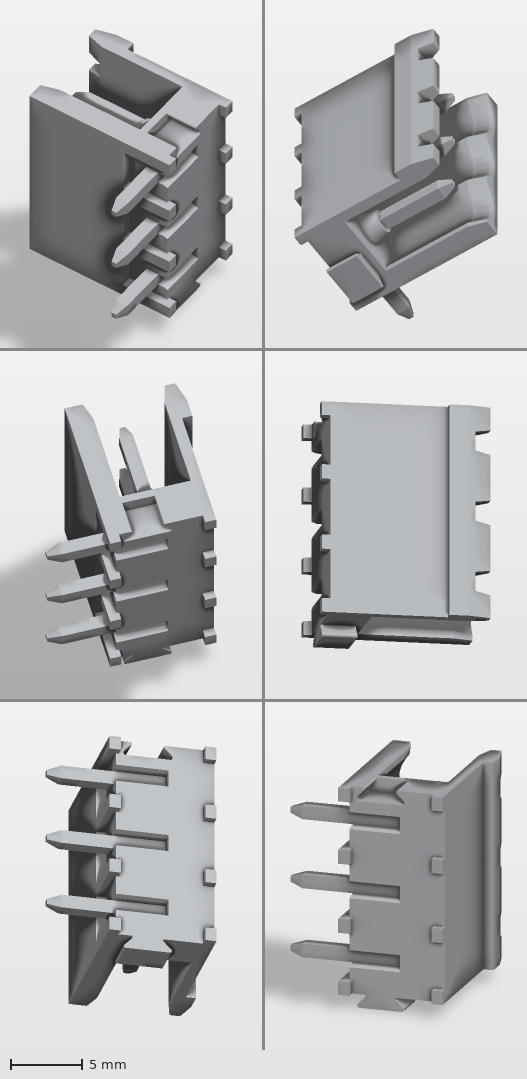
import cadquery as cq

pitch = 5.08
pin_count = 3
body_height = pitch * pin_count
body_length = 12.0
back_x = 11.4
cavity_depth = 8.3

wall_outer_y = 7.74
bump_outer_y = 8.48
bump_length = 3.0
bump_taper_length = 1.6
bump_tip_y = 8.07
cavity_low_y = 1.72
cavity_high_y = 6.9
mouth_chamfer_length = 1.4
mouth_chamfer_depth = 0.4

pin_y = 3.9
pin_width = 1.0
pin_tip_width = 0.4
pin_taper_length = 1.0
pin_tip_x = 1.1
leg_x = 10.1
leg_tip_y = -4.12
collar_length = 1.25
collar_base_radius = 1.25
collar_tip_radius = 0.9

scallop_radius = cavity_high_y - pin_y

notch_depth = 1.15
notch_mouth_width = 1.78
notch_floor_width = 1.36

rib_thickness = 0.81
end_rib_width = 1.0
middle_rib_width = 1.04
window_start_x = 8.0
window_step_x = 8.6
window_depth = 0.62

slot_flare_width = 1.26
slot_flare_length = 0.37

dovetail_y = 2.93
dovetail_length = 2.53
dovetail_height = 1.0
root_width = 2.38
waist_width = 2.2
waist_depth = 0.1
neck_end_width = 2.24
neck_end_depth = 0.17
flank_end_width = 3.4
flank_end_depth = 0.74
foot_width = 3.46
foot_depth = 0.86
base_width = 3.26
groove_clearance = 0.05

pin_levels = [(index + 0.5) * pitch for index in range(pin_count)]
high_foot_inner_y = wall_outer_y - rib_thickness


def box(x_range, y_range, z_range):
    """Axis-aligned block given by its limits."""
    size = [limits[1] - limits[0] for limits in (x_range, y_range, z_range)]
    corner = (x_range[0], y_range[0], z_range[0])
    return cq.Workplane("XY").box(*size, centered=False).translate(corner)


def make_shell():
    """U-shaped body profile extruded along the row."""
    outline = [
        (0, 0),
        (back_x, 0),
        (back_x, wall_outer_y),
        (bump_length, wall_outer_y),
        (bump_length, bump_outer_y),
        (bump_taper_length, bump_outer_y),
        (0, bump_tip_y),
        (0, cavity_high_y + mouth_chamfer_depth),
        (mouth_chamfer_length, cavity_high_y),
        (cavity_depth, cavity_high_y),
        (cavity_depth, cavity_low_y),
        (mouth_chamfer_length, cavity_low_y),
        (0, cavity_low_y - mouth_chamfer_depth),
    ]
    return cq.Workplane("XY").polyline(outline).close().extrude(body_height)


def make_scallop(level):
    """Round recess in the -Y wall, coned outward at the mouth."""
    mouth_radius = scallop_radius + mouth_chamfer_depth
    profile = [
        (0, 0),
        (0, mouth_radius),
        (mouth_chamfer_length, scallop_radius),
        (cavity_depth, scallop_radius),
        (cavity_depth, 0),
    ]
    turned = cq.Workplane("XY").polyline(profile).close().revolve(360, (0, 0, 0), (1, 0, 0))
    lower_half = box((0, cavity_depth), (-mouth_radius, 0), (-pitch / 2, pitch / 2))
    return turned.intersect(lower_half).translate((0, pin_y, level))


def make_notch(level):
    """Flared notch across the lip of the +Y wall."""
    outline = [
        (0, level - notch_mouth_width / 2),
        (notch_depth, level - notch_floor_width / 2),
        (notch_depth, level + notch_floor_width / 2),
        (0, level + notch_mouth_width / 2),
    ]
    sketch = cq.Workplane("XZ", origin=(0, bump_outer_y, 0)).polyline(outline).close()
    return sketch.extrude(bump_outer_y - cavity_high_y)


def rib_spans():
    """Z limits of the stand-off ribs: one at each end and one between neighbouring pins."""
    spans = [(0, end_rib_width)]
    for index in range(1, pin_count):
        middle = index * pitch
        spans.append((middle - middle_rib_width / 2, middle + middle_rib_width / 2))
    spans.append((body_height - end_rib_width, body_height))
    return spans


def make_rib_feet(span):
    """Rear ends of one rib, on both long walls."""
    x_range = (back_x, body_length)
    low_foot = box(x_range, (0, rib_thickness), span)
    high_foot = box(x_range, (high_foot_inner_y, wall_outer_y), span)
    return low_foot.union(high_foot)


def make_window(span):
    """Stepped recess around one solder leg, open to the rear."""
    floor = box((window_start_x, back_x), (0, window_depth), span)
    deep_step = box((window_start_x, window_step_x), (0, rib_thickness), span)
    return floor.union(deep_step)


def make_slot(level):
    """Insertion slot behind one pin, flared at the rear face."""
    flare_start_x = back_x - slot_flare_length
    outline = [
        (leg_x, -pin_width / 2),
        (flare_start_x, -pin_width / 2),
        (back_x, -slot_flare_width / 2),
        (back_x, slot_flare_width / 2),
        (flare_start_x, pin_width / 2),
        (leg_x, pin_width / 2),
    ]
    top_y = pin_y + pin_width / 2
    sketch = cq.Workplane("XZ", origin=(0, top_y, level)).polyline(outline).close()
    return sketch.extrude(top_y)


def make_bar(length):
    """Square bar along +Z from the origin, tapered at its far end."""
    straight_length = length - pin_taper_length
    straight = cq.Workplane("XY").rect(pin_width, pin_width).extrude(straight_length)
    tip = (
        cq.Workplane("XY", origin=(0, 0, straight_length))
        .rect(pin_width, pin_width)
        .workplane(offset=pin_taper_length)
        .rect(pin_tip_width, pin_tip_width)
        .loft(ruled=True)
    )
    return straight.union(tip)


def make_pin(level):
    """Right-angle pin: a contact arm along -X and a solder leg along -Y."""
    half = pin_width / 2
    arm = make_bar(leg_x + half - pin_tip_x).rotate((0, 0, 0), (0, 1, 0), -90)
    arm = arm.translate((leg_x + half, pin_y, level))
    leg = make_bar(pin_y + half - leg_tip_y).rotate((0, 0, 0), (1, 0, 0), 90)
    leg = leg.translate((leg_x, pin_y + half, level))
    return arm.union(leg)


def make_collar(level):
    """Conical collar around the pin on the cavity floor."""
    base = cq.Workplane("YZ", origin=(cavity_depth, pin_y, level))
    return base.circle(collar_base_radius).workplane(offset=-collar_length).circle(collar_tip_radius).loft()


def make_dovetail(clearance):
    """Dovetail with rounded neck and foot, hanging below Z = 0, flush with the rear face."""
    root = root_width / 2 + clearance
    waist = waist_width / 2 + clearance
    neck_end = neck_end_width / 2 + clearance
    flank_end = flank_end_width / 2 + clearance
    foot = foot_width / 2 + clearance
    base = base_width / 2 + clearance
    bottom = -dovetail_height - clearance
    start_x = back_x - dovetail_length
    outline = (
        cq.Workplane("YZ", origin=(start_x, dovetail_y, 0))
        .moveTo(root, 0)
        .threePointArc((waist, -waist_depth), (neck_end, -neck_end_depth))
        .lineTo(flank_end, -flank_end_depth)
        .threePointArc((foot, -foot_depth), (base, bottom))
        .lineTo(-base, bottom)
        .threePointArc((-foot, -foot_depth), (-flank_end, -flank_end_depth))
        .lineTo(-neck_end, -neck_end_depth)
        .threePointArc((-waist, -waist_depth), (-root, 0))
        .close()
    )
    return outline.extrude(dovetail_length)


body = make_shell()
for level in pin_levels:
    body = body.cut(make_scallop(level)).cut(make_notch(level))

body = body.cut(make_dovetail(groove_clearance).translate((0, 0, body_height)))

ribs = rib_spans()
for span in ribs:
    body = body.union(make_rib_feet(span))
for lower_rib, upper_rib in zip(ribs, ribs[1:]):
    body = body.cut(make_window((lower_rib[1], upper_rib[0])))

for level in pin_levels:
    body = body.cut(make_slot(level)).union(make_collar(level)).union(make_pin(level))

result = body.union(make_dovetail(0))